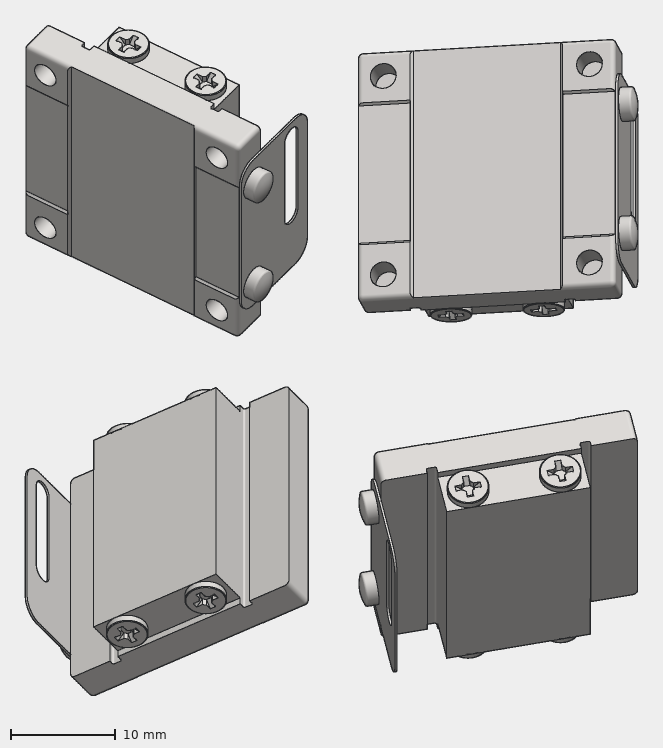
import cadquery as cq

BODY_SIZE = 25.0
BODY_DEPTH = 3.7
EDGE_RADIUS = 0.5
CENTRE = BODY_SIZE / 2

CHANNEL_MOUTH = 14.78
CHANNEL_DEPTH = 0.27

POCKET_DEPTH = 0.228
PAD_HEIGHT = 5.09
TALL_PAD_HEIGHT = 5.62

HOLE_DIAMETER = 2.5
HOLE_SPACING = 20.0
HOLE_DEPTH = 3.0

BLOCK_WIDTH = 14.0
BLOCK_HEIGHT = 23.5
BLOCK_BACK = 8.0
STEP_HEIGHT = 0.13
GROOVE_WIDTH = 1.0
GROOVE_DEPTH = 0.55
GROOVE_CORNER_RADIUS = 0.2

SCREW_DIAMETER = 4.0
SCREW_HEIGHT = 0.72
SCREW_SPACING = 9.0
SCREW_Y = 6.0
SCREW_CHAMFER = 0.08
RECESS_SPAN = 2.45
RECESS_HUB = 1.15
RECESS_ARM_WIDTH = 0.6
RECESS_DEPTH = 0.7

PLATE_THICKNESS = 0.228
PLATE_FRONT = 0.15
PLATE_BACK = 11.2
PLATE_HEIGHT = 19.0
PLATE_CORNER_RADIUS = 2.0
SLOT_LENGTH = 12.23
SLOT_WIDTH = 2.2
SLOT_END_WALL = 0.83
SLOT_BACK_WALL = 1.6

DOME_DIAMETER = 3.3
DOME_TIP = 26.77
DOME_RISE = 0.37
DOME_EDGE_RADIUS = 0.21
DOME_Y = 2.2
DOME_SPACING = 13.0


def box(x_range, y_range, z_range):
    """Box spanning the given (low, high) pairs."""
    low, high = zip(x_range, y_range, z_range)
    size = [b - a for a, b in zip(low, high)]
    return cq.Workplane("XY").box(*size, centered=False).translate(low)


def make_body():
    """Plate with rounded corners and a rounded front rim."""
    body = box((0, BODY_SIZE), (0, BODY_DEPTH), (0, BODY_SIZE))
    return body.edges("|Y or <Y").fillet(EDGE_RADIUS)


def channel_cutter():
    """Trapezoidal channel with 45 degree walls."""
    half_mouth = CHANNEL_MOUTH / 2
    half_floor = half_mouth - CHANNEL_DEPTH
    profile = [
        (CENTRE - half_mouth, 0),
        (CENTRE - half_floor, CHANNEL_DEPTH),
        (CENTRE + half_floor, CHANNEL_DEPTH),
        (CENTRE + half_mouth, 0),
    ]
    return cq.Workplane("XY").polyline(profile).close().extrude(BODY_SIZE)


def pocket_cutter(x_start, x_end, lower_pad, upper_pad):
    """Pocket with 45 degree walls against the pads below and above it."""
    bottom = lower_pad
    top = BODY_SIZE - upper_pad
    profile = [
        (0, bottom),
        (POCKET_DEPTH, bottom + POCKET_DEPTH),
        (POCKET_DEPTH, top - POCKET_DEPTH),
        (0, top),
    ]
    outline = cq.Workplane("YZ", origin=(x_start, 0, 0)).polyline(profile).close()
    return outline.extrude(x_end - x_start)


def hole_cutters():
    """One blind hole in each corner pad."""
    holes = cq.Workplane("XZ", origin=(CENTRE, 0, CENTRE)).rarray(HOLE_SPACING, HOLE_SPACING, 2, 2)
    return holes.circle(HOLE_DIAMETER / 2).extrude(-HOLE_DEPTH)


def make_block():
    """Block on a low full-height step that rises between the grooves."""
    half_width = BLOCK_WIDTH / 2
    half_height = BLOCK_HEIGHT / 2
    x_range = (CENTRE - half_width, CENTRE + half_width)
    step_back = BODY_DEPTH + STEP_HEIGHT
    step = box(x_range, (BODY_DEPTH - GROOVE_DEPTH, step_back), (0, BODY_SIZE))
    block = box(x_range, (BODY_DEPTH, BLOCK_BACK), (CENTRE - half_height, CENTRE + half_height))
    return block.union(step)


def groove_cutter(side):
    """Relief groove beside the block; side is -1 or +1 along X."""
    x_middle = CENTRE + side * (BLOCK_WIDTH + GROOVE_WIDTH) / 2
    half_width = GROOVE_WIDTH / 2
    groove = box(
        (x_middle - half_width, x_middle + half_width),
        (BODY_DEPTH - GROOVE_DEPTH, BODY_DEPTH),
        (0, BODY_SIZE),
    )
    return groove.edges("|Z and <Y").fillet(GROOVE_CORNER_RADIUS)


def recess_cutter():
    """Cross recess below Z = 0: an eight-sided hub and four arms with sloping ends."""
    hub = cq.Workplane("XY").rect(RECESS_HUB, RECESS_HUB).extrude(-RECESS_DEPTH)
    hub = hub.edges("|Z").chamfer((RECESS_HUB - RECESS_ARM_WIDTH) / 2)
    arm_profile = [
        (-RECESS_SPAN / 2, 0),
        (-RECESS_HUB / 2, -RECESS_DEPTH),
        (RECESS_HUB / 2, -RECESS_DEPTH),
        (RECESS_SPAN / 2, 0),
    ]
    arm = cq.Workplane("XZ").polyline(arm_profile).close().extrude(RECESS_ARM_WIDTH / 2, both=True)
    cross_arm = arm.rotate((0, 0, 0), (0, 0, 1), 90)
    return hub.union(arm).union(cross_arm)


def make_terminal_screw():
    """Screw head standing on Z = 0 with its recess facing up."""
    head = cq.Workplane("XY").circle(SCREW_DIAMETER / 2).extrude(SCREW_HEIGHT)
    head = head.faces(">Z").edges().chamfer(SCREW_CHAMFER)
    return head.cut(recess_cutter().translate((0, 0, SCREW_HEIGHT)))


def make_terminal_screws():
    """Two screws on the upper end of the block and their mirror images on the lower end."""
    head = make_terminal_screw().translate((CENTRE, SCREW_Y, CENTRE + BLOCK_HEIGHT / 2))
    half_spacing = SCREW_SPACING / 2
    upper = head.translate((-half_spacing, 0, 0)).union(head.translate((half_spacing, 0, 0)))
    return upper.union(upper.mirror("XY", (0, 0, CENTRE)))


def make_bracket():
    """Rounded plate with a long slot near its back edge, set towards the upper end."""
    plate_top = CENTRE + PLATE_HEIGHT / 2
    plate = box(
        (BODY_SIZE, BODY_SIZE + PLATE_THICKNESS),
        (PLATE_FRONT, PLATE_BACK),
        (CENTRE - PLATE_HEIGHT / 2, plate_top),
    )
    plate = plate.edges("|X").fillet(PLATE_CORNER_RADIUS)
    slot_y = PLATE_BACK - SLOT_BACK_WALL - SLOT_WIDTH / 2
    slot_z = plate_top - SLOT_END_WALL - SLOT_LENGTH / 2
    slot = cq.Workplane("YZ", origin=(BODY_SIZE, slot_y, slot_z)).slot2D(SLOT_LENGTH, SLOT_WIDTH, 90)
    return plate.cut(slot.extrude(PLATE_THICKNESS))


def make_domed_screw(z_centre):
    """Domed head with a rounded rim, revolved about its axis along X."""
    radius = DOME_DIAMETER / 2
    shoulder = DOME_TIP - DOME_RISE
    sphere_radius = (radius**2 + DOME_RISE**2) / (2 * DOME_RISE)
    profile = (
        cq.Workplane("XY", origin=(0, DOME_Y, z_centre))
        .moveTo(BODY_SIZE, 0)
        .lineTo(BODY_SIZE, radius)
        .lineTo(shoulder, radius)
        .radiusArc((DOME_TIP, 0), sphere_radius)
        .close()
    )
    screw = profile.revolve(360, (0, 0), (1, 0))
    rim = cq.selectors.NearestToPointSelector((shoulder, DOME_Y, z_centre))
    return screw.edges("%CIRCLE").edges(rim).fillet(DOME_EDGE_RADIUS)


left_bank = CENTRE - CHANNEL_MOUTH / 2
right_bank = CENTRE + CHANNEL_MOUTH / 2

result = make_body()
result = result.cut(channel_cutter())
result = result.cut(pocket_cutter(0, left_bank, TALL_PAD_HEIGHT, PAD_HEIGHT))
result = result.cut(pocket_cutter(right_bank, BODY_SIZE, PAD_HEIGHT, PAD_HEIGHT))
result = result.cut(hole_cutters())
for direction in (-1, 1):
    result = result.cut(groove_cutter(direction))
result = result.union(make_block())
result = result.union(make_terminal_screws())
result = result.union(make_bracket())
for direction in (-1, 1):
    result = result.union(make_domed_screw(CENTRE + direction * DOME_SPACING / 2))